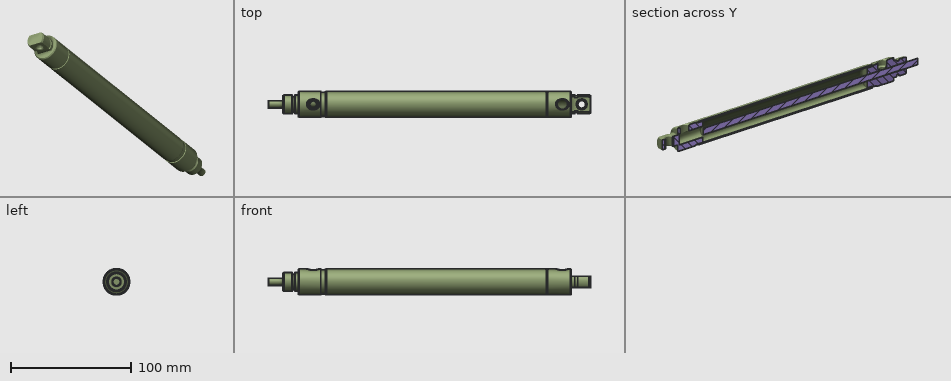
import cadquery as cq
import math


body_dia = 21.84
bore_dia = 19.05
neck_dia = 20.3
rod_dia = 6.35
rod_hole_mouth_dia = 7.4
mount_dia = 15.875
front_relief_dia = 13.0
tang_relief_dia = 14.3

collar_front = 12.1
collar_back = 20.3
flange_front = 22.2
front_cap_start = 25.0
front_cap_end = 43.5
tube_start = 47.1
tube_end = 230.5
rear_cap_start = 232.1
rear_cap_end = 251.4
tang_relief_start = 254.2
tang_relief_end = 256.7
tang_end = 267.51

cap_chamfer = 0.8
collar_chamfer = 0.95
relief_chamfer = 0.8
flange_chamfer = 0.4
tang_chamfer_length = 1.4
tang_chamfer_depth = 0.8
tube_chamfer_length = 1.2
spigot_length = 6.0
front_spigot_end = tube_start + spigot_length
rear_spigot_start = tube_end - spigot_length

port_dia = 8.6
port_mouth_dia = 10.9
port_mouth_angle = 45.0
front_port_x = 37.2
front_port_passage_dia = 5.7
front_port_floor_z = 5.0
drill_tip_angle = 59.0
rear_port_x = 244.0
rear_bore_dia = 9.5
rear_bore_end = rear_port_x + port_mouth_dia / 2

tang_thickness = 9.525
pivot_x = 260.1
bushing_outer_dia = 8.9
bushing_inner_dia = 6.35
bushing_mouth_dia = 7.6


def turned(profile):
    """Solid of revolution about X from (x, radius) points; the axis closes the profile."""
    first_x = profile[0][0]
    last_x = profile[-1][0]
    points = [(first_x, 0)] + profile + [(last_x, 0)]
    return cq.Workplane("XZ").polyline(points).close().revolve(360, (0, 0, 0), (1, 0, 0))


def rod_along_x(start, end, diameter):
    return cq.Workplane("YZ", origin=(start, 0, 0)).circle(diameter / 2).extrude(end - start)


def pin_along_z(x, bottom, top, diameter):
    return cq.Workplane("XY", origin=(x, 0, bottom)).circle(diameter / 2).extrude(top - bottom)


def cone_along_z(x, bottom, bottom_dia, top, top_dia):
    return (
        cq.Workplane("XY", origin=(x, 0, bottom)).circle(bottom_dia / 2)
        .workplane(offset=top - bottom).circle(top_dia / 2).loft()
    )


def port_cutter(x, floor):
    """Port hole from the floor up, with a countersunk mouth at the body surface."""
    mouth_depth = (port_mouth_dia - port_dia) / 2 / math.tan(math.radians(port_mouth_angle))
    surface = body_dia / 2
    hole = pin_along_z(x, floor, surface, port_dia)
    return hole.union(cone_along_z(x, surface - mouth_depth, port_dia, surface, port_mouth_dia))


def make_rod():
    return rod_along_x(0, rear_spigot_start, rod_dia)


def make_front_cap():
    body_r = body_dia / 2
    mount_r = mount_dia / 2
    relief_r = front_relief_dia / 2
    neck_r = neck_dia / 2
    bore_r = bore_dia / 2
    cap = turned([
        (collar_front, mount_r - collar_chamfer),
        (collar_front + collar_chamfer, mount_r),
        (collar_back - relief_chamfer, mount_r),
        (collar_back, relief_r),
        (flange_front - flange_chamfer, relief_r),
        (flange_front, mount_r),
        (front_cap_start, mount_r),
        (front_cap_start, body_r - cap_chamfer),
        (front_cap_start + cap_chamfer, body_r),
        (front_cap_end, body_r),
        (front_cap_end, neck_r),
        (tube_start, neck_r),
        (tube_start, bore_r),
        (front_spigot_end, bore_r),
    ])
    tip_depth = (port_dia - front_port_passage_dia) / 2 / math.tan(math.radians(drill_tip_angle))
    tip_z = front_port_floor_z - tip_depth
    cap = cap.cut(port_cutter(front_port_x, front_port_floor_z))
    cap = cap.cut(cone_along_z(front_port_x, tip_z, front_port_passage_dia, front_port_floor_z, port_dia))
    cap = cap.cut(pin_along_z(front_port_x, 0, tip_z, front_port_passage_dia))
    mouth_depth = (rod_hole_mouth_dia - rod_dia) / 2
    mouth = turned([
        (collar_front, rod_hole_mouth_dia / 2),
        (collar_front + mouth_depth, rod_dia / 2),
    ])
    return cap.cut(rod_along_x(collar_front, front_spigot_end, rod_dia)).cut(mouth)


def make_tube():
    tube = turned([
        (tube_start, neck_dia / 2),
        (tube_start + tube_chamfer_length, body_dia / 2),
        (tube_end, body_dia / 2),
    ])
    return tube.cut(rod_along_x(tube_start, tube_end, bore_dia))


def make_rear_cap():
    body_r = body_dia / 2
    neck_r = neck_dia / 2
    bore_r = bore_dia / 2
    cap = turned([
        (rear_spigot_start, bore_r),
        (tube_end, bore_r),
        (tube_end, neck_r),
        (rear_cap_start, neck_r),
        (rear_cap_start, body_r),
        (rear_cap_end - cap_chamfer, body_r),
        (rear_cap_end, body_r - cap_chamfer),
    ])
    cap = cap.cut(port_cutter(rear_port_x, 0))
    cap = cap.cut(rod_along_x(rear_spigot_start, rear_bore_end, rear_bore_dia))
    return cap.union(make_tang())


def make_tang():
    """Round stock with two flats, a relief groove, a chamfered end and a hole for the bushing."""
    mount_r = mount_dia / 2
    relief_r = tang_relief_dia / 2
    stock = turned([
        (rear_cap_end, mount_r),
        (tang_relief_start, mount_r),
        (tang_relief_start, relief_r),
        (tang_relief_end, relief_r),
        (tang_relief_end, mount_r),
        (tang_end - tang_chamfer_length, mount_r),
        (tang_end, mount_r - tang_chamfer_depth),
    ])
    length = tang_end - rear_cap_end
    slab = cq.Workplane("XY").box(length, mount_dia, tang_thickness)
    slab = slab.translate((rear_cap_end + length / 2, 0, 0))
    half = tang_thickness / 2
    return stock.intersect(slab).cut(pin_along_z(pivot_x, -half, half, bushing_outer_dia))


def make_bushing():
    half = tang_thickness / 2
    sleeve = pin_along_z(pivot_x, -half, half, bushing_outer_dia)
    sleeve = sleeve.cut(pin_along_z(pivot_x, -half, half, bushing_inner_dia))
    mouth_depth = (bushing_mouth_dia - bushing_inner_dia) / 2
    for side in (-1, 1):
        inner_z = side * (half - mouth_depth)
        sleeve = sleeve.cut(
            cone_along_z(pivot_x, inner_z, bushing_inner_dia, side * half, bushing_mouth_dia)
        )
    return sleeve


rod = make_rod()
front_cap = make_front_cap()
tube = make_tube()
rear_cap = make_rear_cap()
bushing = make_bushing()

result = cq.Compound.makeCompound([
    rod.val(),
    front_cap.val(),
    tube.val(),
    rear_cap.val(),
    bushing.val(),
])